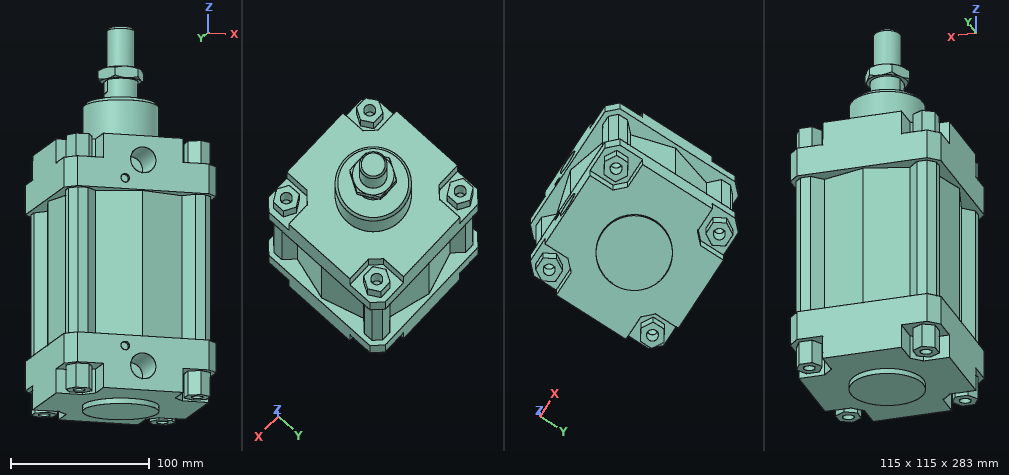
import cadquery as cq
import math

overall_height = 283.0
base_boss_height = 4.0
cap_height = 40.0
tube_length = 108.0
collar_height = 35.0
lower_cap_bottom = base_boss_height
lower_cap_top = lower_cap_bottom + cap_height
upper_cap_bottom = lower_cap_top + tube_length
upper_cap_top = upper_cap_bottom + cap_height
collar_top = upper_cap_top + collar_height

cap_width = 115.0
cap_half = cap_width / 2
cap_corner_chamfer = 8.0
pocket_size = 27.5
pocket_depth = 17.8
pocket_chamfer = 7.5

tie_offset = 44.5
tie_nut_flats = 17.0
tie_hole_diameter = 8.5
tie_hole_depth = 22.5
drill_tip_angle = 120.0

port_diameter = 19.0
port_depth = 34.0
port_inset = pocket_depth
screw_hole_diameter = 6.2
screw_hole_depth = 2.8
screw_hole_x = -13.5
screw_hole_inset = 8.0

ridge_reach = 55.0
lobe_reach = 53.5
lobe_outer_x = 48.0
lobe_inner_x = 40.5
lobe_flank_drop = 8.0

collar_diameter = 55.2
collar_bevel_height = 2.5
collar_bevel_width = 2.0
rod_diameter = 25.0
rod_socket_depth = 28.3
shoulder_top = 243.7
thread_diameter = 20.0
thread_bevel_height = 2.0
thread_bevel_width = 1.5
wrench_flats = 22.5
wrench_flat_bottom = 235.0

lock_nut_flats = 30.0
lock_nut_height = 8.5
lock_nut_bottom = shoulder_top
lock_nut_face_diameter = 30.0
lock_nut_bevel_angle = 30.0


def disc(diameter, bottom, top):
    """Upright cylinder on the Z axis."""
    return cq.Workplane("XY").workplane(offset=bottom).circle(diameter / 2).extrude(top - bottom)


def bevelled_disc(diameter, bottom, top, bevel_height, bevel_width):
    """Upright cylinder on the Z axis with a bevelled top rim."""
    radius = diameter / 2
    outline = [
        (0, bottom),
        (radius, bottom),
        (radius, top - bevel_height),
        (radius - bevel_width, top),
        (0, top),
    ]
    return cq.Workplane("XZ").polyline(outline).close().revolve(360, (0, 0), (0, 1))


def hexagon(flats, bottom, top):
    """Upright hexagonal prism on the Z axis with two corners on the X axis."""
    corners = flats / math.cos(math.radians(30))
    return cq.Workplane("XY").workplane(offset=bottom).polygon(6, corners).extrude(top - bottom)


def make_corner_pocket(bottom):
    """Cut-out for the (-X, -Y) cap corner, with its inner corner chamfered."""
    near = -cap_half
    far = near + pocket_size
    outline = [
        (near, near),
        (far, near),
        (far, far - pocket_chamfer),
        (far - pocket_chamfer, far),
        (near, far),
    ]
    return cq.Workplane("XY").workplane(offset=bottom).polyline(outline).close().extrude(pocket_depth)


def make_tie_nut():
    """Tie-rod nut standing on Z = 0, and the cutter for its conical-ended blind hole."""
    hole_radius = tie_hole_diameter / 2
    tip_height = hole_radius / math.tan(math.radians(drill_tip_angle / 2))
    hole_end = pocket_depth - tie_hole_depth
    nut = hexagon(tie_nut_flats, 0, pocket_depth)
    hole_outline = [
        (0, pocket_depth),
        (hole_radius, pocket_depth),
        (hole_radius, hole_end),
        (0, hole_end - tip_height),
    ]
    drill = cq.Workplane("XZ").polyline(hole_outline).close().revolve(360, (0, 0), (0, 1))
    return nut, drill


def make_cap():
    """Upper cap with its inner face on Z = 0, including the corner pockets and drilled tie-rod nuts."""
    cap = cq.Workplane("XY").rect(cap_width, cap_width).extrude(cap_height)
    cap = cap.edges("|Z").chamfer(cap_corner_chamfer)
    pocket_floor = cap_height - pocket_depth
    pocket = make_corner_pocket(pocket_floor)
    nut, drill = make_tie_nut()
    place = (-tie_offset, -tie_offset, pocket_floor)
    for corner in range(4):
        turn = 90 * corner
        cap = cap.cut(pocket.rotate((0, 0, 0), (0, 0, 1), turn))
        cap = cap.union(nut.translate(place).rotate((0, 0, 0), (0, 0, 1), turn))
        cap = cap.cut(drill.translate(place).rotate((0, 0, 0), (0, 0, 1), turn))
    return cap


def make_tube():
    """Tube with a shallow ridge along each side and a lobe at each corner."""
    side = [
        (-lobe_outer_x, -lobe_reach),
        (-lobe_inner_x, -lobe_reach),
        (-lobe_inner_x + lobe_flank_drop, -lobe_reach + lobe_flank_drop),
        (0, -ridge_reach),
        (lobe_inner_x - lobe_flank_drop, -lobe_reach + lobe_flank_drop),
        (lobe_inner_x, -lobe_reach),
        (lobe_outer_x, -lobe_reach),
    ]
    outline = []
    for quarter in range(4):
        cosine = math.cos(math.radians(90 * quarter))
        sine = math.sin(math.radians(90 * quarter))
        outline += [(x * cosine - y * sine, x * sine + y * cosine) for x, y in side]
    tube = cq.Workplane("XY").workplane(offset=lower_cap_top).polyline(outline).close()
    return tube.extrude(tube_length)


def side_hole(diameter, depth, x, z):
    """Cutter for a flat-bottomed hole entering the -Y side."""
    face = cq.Workplane("XZ", origin=(x, -cap_half, z))
    return face.circle(diameter / 2).extrude(-depth)


def make_housing():
    """Cylinder housing: two caps, tube, collar and base boss, with the rod socket."""
    cap = make_cap()
    upper_cap = cap.translate((0, 0, upper_cap_bottom))
    lower_cap = cap.mirror("XY").translate((0, 0, lower_cap_top))
    collar = bevelled_disc(
        collar_diameter, upper_cap_top, collar_top, collar_bevel_height, collar_bevel_width
    )
    base_boss = disc(collar_diameter, 0, lower_cap_bottom)
    housing = make_tube().union(upper_cap).union(lower_cap).union(collar).union(base_boss)
    port_levels = (lower_cap_bottom + port_inset, upper_cap_top - port_inset)
    screw_levels = (lower_cap_top - screw_hole_inset, upper_cap_bottom + screw_hole_inset)
    for port_z, screw_z in zip(port_levels, screw_levels):
        housing = housing.cut(side_hole(port_diameter, port_depth, 0, port_z))
        housing = housing.cut(side_hole(screw_hole_diameter, screw_hole_depth, screw_hole_x, screw_z))
    return housing.cut(disc(rod_diameter, collar_top - rod_socket_depth, collar_top))


def make_rod():
    """Piston rod with two wrench flats that run out at 45 degrees, and a thinner threaded end."""
    shank = disc(rod_diameter, collar_top - rod_socket_depth, shoulder_top)
    flat_x = wrench_flats / 2
    relief_x = rod_diameter
    relief_outline = [
        (flat_x, shoulder_top),
        (flat_x, wrench_flat_bottom),
        (relief_x, wrench_flat_bottom - (relief_x - flat_x)),
        (relief_x, shoulder_top),
    ]
    relief = cq.Workplane("XZ").polyline(relief_outline).close().extrude(rod_diameter / 2, both=True)
    shank = shank.cut(relief).cut(relief.mirror("YZ"))
    thread = bevelled_disc(
        thread_diameter, shoulder_top, overall_height, thread_bevel_height, thread_bevel_width
    )
    return shank.union(thread)


def make_lock_nut():
    """Hexagonal lock nut on the threaded end, its corners bevelled on both faces."""
    lock_nut_top = lock_nut_bottom + lock_nut_height
    nut = hexagon(lock_nut_flats, lock_nut_bottom, lock_nut_top)
    face_radius = lock_nut_face_diameter / 2
    waist_radius = face_radius + lock_nut_height / 2 / math.tan(math.radians(lock_nut_bevel_angle))
    bevel_outline = [
        (0, lock_nut_bottom),
        (face_radius, lock_nut_bottom),
        (waist_radius, lock_nut_bottom + lock_nut_height / 2),
        (face_radius, lock_nut_top),
        (0, lock_nut_top),
    ]
    bevel = cq.Workplane("XZ").polyline(bevel_outline).close().revolve(360, (0, 0), (0, 1))
    return nut.intersect(bevel).cut(disc(thread_diameter, lock_nut_bottom, lock_nut_top))


housing = make_housing()
rod = make_rod()
lock_nut = make_lock_nut()

result = cq.Compound.makeCompound([housing.val(), rod.val(), lock_nut.val()])